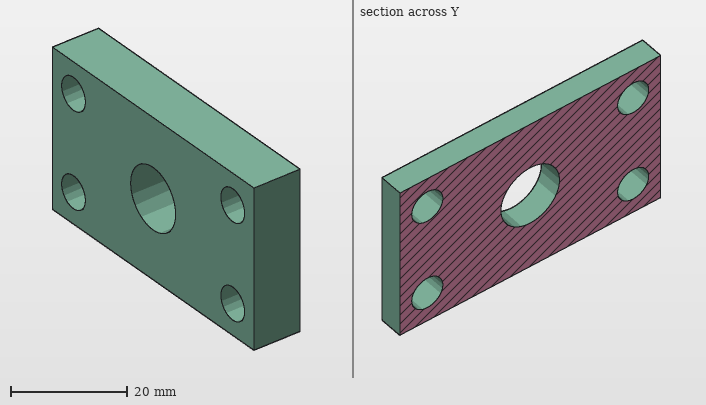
import cadquery as cq

plate_length = 57.0
plate_thickness = 10.0
plate_height = 33.0

bore_diameter = 12.7

mount_hole_diameter = 6.7
mount_spacing_x = 45.0
mount_spacing_z = 20.0


def make_plate():
    """Rectangular plate centred on the origin."""
    return cq.Workplane("XY").box(plate_length, plate_thickness, plate_height)


def cut_central_bore(body):
    """Plain through bore at the middle of the large face."""
    return body.faces("<Y").workplane(centerOption="CenterOfBoundBox").hole(bore_diameter)


def cut_mounting_holes(body):
    """Plain through holes near the four corners of the large face."""
    return (
        body.faces("<Y")
        .workplane(centerOption="CenterOfBoundBox")
        .rarray(mount_spacing_x, mount_spacing_z, 2, 2)
        .hole(mount_hole_diameter)
    )


plate = make_plate()
plate = cut_central_bore(plate)
result = cut_mounting_holes(plate)